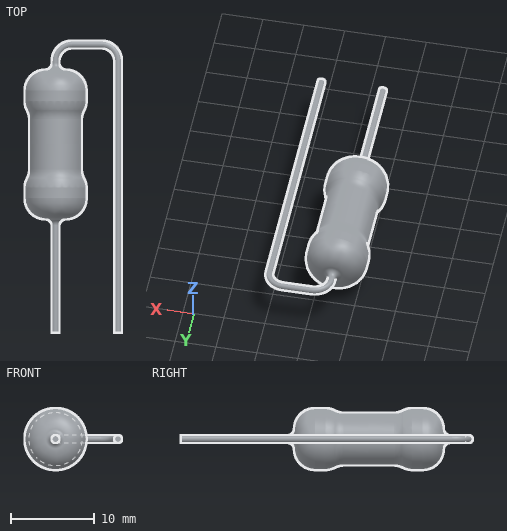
import cadquery as cq
import math

wire_diameter = 1.0
lead_spacing = 7.5
bend_radius = 2.0
overall_length = 35.1
bend_top_y = 12.5

body_diameter = 7.5
waist_diameter = 6.4
body_length = 18.05
meniscus_radius = 0.7
waist_half_length = 3.02
collar_start_y = 5.2

wire_radius = wire_diameter / 2
body_radius = body_diameter / 2
waist_radius = waist_diameter / 2
body_end_y = body_length / 2
dome_centre_x = wire_radius + meniscus_radius
dome_radius = body_radius - dome_centre_x
dome_start_y = body_end_y - dome_radius
meniscus_end_y = body_end_y + meniscus_radius
wire_top_y = bend_top_y - wire_radius
wire_end_y = bend_top_y - overall_length
diagonal = math.sqrt(0.5)

shoulder_middle = (
    (waist_radius + body_radius) / 2,
    (waist_half_length + collar_start_y) / 2,
)


def make_half_body():
    """Revolve the +Y half of the body, from its middle to the lead fillet."""
    dome_middle = (
        dome_centre_x + dome_radius * diagonal,
        dome_start_y + dome_radius * diagonal,
    )
    meniscus_middle = (
        dome_centre_x - meniscus_radius * diagonal,
        meniscus_end_y - meniscus_radius * diagonal,
    )
    profile = (
        cq.Workplane("XY")
        .lineTo(waist_radius, 0)
        .lineTo(waist_radius, waist_half_length)
        .tangentArcPoint(shoulder_middle, relative=False)
        .tangentArcPoint((body_radius, collar_start_y), relative=False)
        .lineTo(body_radius, dome_start_y)
        .threePointArc(dome_middle, (dome_centre_x, body_end_y))
        .threePointArc(meniscus_middle, (wire_radius, meniscus_end_y))
        .lineTo(0, meniscus_end_y)
        .close()
    )
    return profile.revolve(360, (0, 0, 0), (0, 1, 0))


def make_wire():
    """Sweep one wire through the body, around both bends and back."""
    path = (
        cq.Workplane("XY")
        .moveTo(0, wire_end_y)
        .lineTo(0, wire_top_y - bend_radius)
        .tangentArcPoint((bend_radius, wire_top_y), relative=False)
        .lineTo(lead_spacing - bend_radius, wire_top_y)
        .tangentArcPoint((lead_spacing, wire_top_y - bend_radius), relative=False)
        .lineTo(lead_spacing, wire_end_y)
    )
    section = cq.Workplane("XZ", origin=(0, wire_end_y, 0)).circle(wire_radius)
    return section.sweep(path)


half_body = make_half_body()
body = half_body.union(half_body.mirror("XZ"))
result = body.union(make_wire())